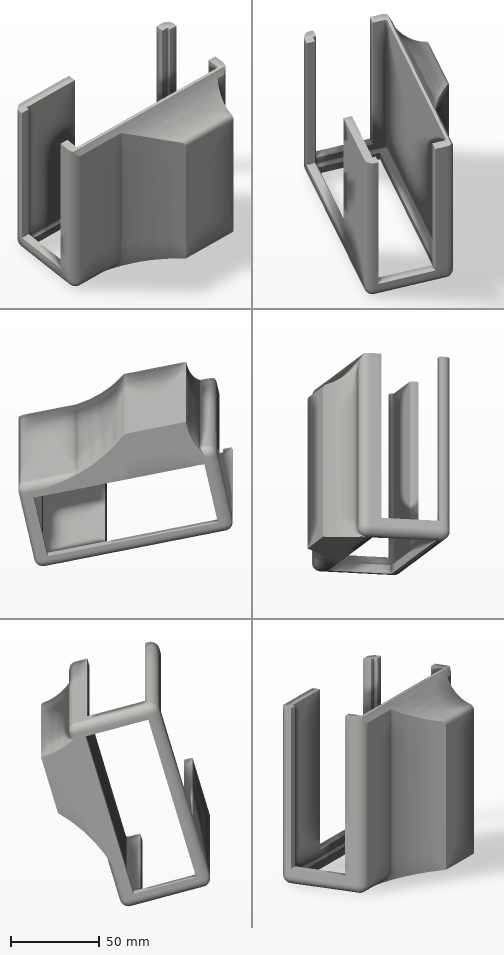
import cadquery as cq

BOX_X = 53.0
BOX_Y = 115.0
HEIGHT = 105.0
OUTER_RADIUS = 5.0

WALL = 5.0
FLOOR = 5.0
BACK_WALL = 3.75
CAVITY_RADIUS = 1.0
CAVITY_X = BOX_X - WALL - BACK_WALL
CAVITY_Y = BOX_Y - 2 * WALL

LEDGE_LEFT = 2.25
LEDGE_RIGHT = 5.0
LEDGE_ENDS = 3.0

WINDOW_SILL = 10.0
END_WINDOW_START = 7.0
END_WINDOW_STOP = 41.0
SIDE_WINDOW_START = 41.0
SIDE_WINDOW_STOP = 106.0

FIN_TIP_X = 72.0
FIN_ROOT_X = BOX_X - BACK_WALL
FIN_TAB_X = BOX_X - OUTER_RADIUS
FIN_ROOT_FRONT = 18.6
FIN_TIP_FRONT = 66.8
FIN_FRONT_RADIUS = 89.0
FIN_ROOT_REAR = 108.7
FIN_TIP_REAR = 102.2
FIN_REAR_RADIUS = 35.0
FIN_REAR_FLAT = 2.5
SCOOP_START_X = 51.0
SCOOP_TIP_Z = 87.8
SCOOP_RADIUS = 30.0
FIN_TIP_RADIUS = 3.0


def block(x_range, y_range, z_range):
    """Axis-aligned block between the given limits."""
    size = [limits[1] - limits[0] for limits in (x_range, y_range, z_range)]
    corner = (x_range[0], y_range[0], z_range[0])
    return cq.Workplane("XY").box(*size, centered=False).translate(corner)


def make_box():
    """Outer block with rounded upright and bottom edges."""
    box = block((0, BOX_X), (0, BOX_Y), (0, HEIGHT))
    return box.edges("|Z or <Z").fillet(OUTER_RADIUS)


def make_fin():
    """Plan outline of the fin, extruded to the full height."""
    return (
        cq.Workplane("XY")
        .moveTo(FIN_TAB_X, FIN_ROOT_FRONT)
        .lineTo(FIN_ROOT_X, FIN_ROOT_FRONT)
        .radiusArc((FIN_TIP_X, FIN_TIP_FRONT), FIN_FRONT_RADIUS)
        .lineTo(FIN_TIP_X, FIN_TIP_REAR)
        .lineTo(FIN_TIP_X - FIN_REAR_FLAT, FIN_TIP_REAR)
        .radiusArc((FIN_ROOT_X, FIN_ROOT_REAR), FIN_REAR_RADIUS)
        .lineTo(FIN_TAB_X, FIN_ROOT_REAR)
        .close()
        .extrude(HEIGHT)
    )


def make_scoop():
    """Material above the concave top of the fin, along the whole +X wall."""
    return (
        cq.Workplane("XZ")
        .moveTo(SCOOP_START_X, HEIGHT)
        .radiusArc((FIN_TIP_X, SCOOP_TIP_Z), -SCOOP_RADIUS)
        .lineTo(FIN_TIP_X, HEIGHT)
        .close()
        .extrude(-BOX_Y)
    )


def make_cavity():
    """Cavity with rounded bottom edges and rounded +X upright edges."""
    cavity = block(
        (WALL, WALL + CAVITY_X),
        (WALL, WALL + CAVITY_Y),
        (FLOOR, HEIGHT),
    )
    return cavity.edges("<Z or (|Z and >X)").fillet(CAVITY_RADIUS)


def make_floor_opening():
    """Rectangular opening through the floor."""
    return block(
        (WALL + LEDGE_LEFT, WALL + CAVITY_X - LEDGE_RIGHT),
        (WALL + LEDGE_ENDS, WALL + CAVITY_Y - LEDGE_ENDS),
        (0, FLOOR),
    )


def make_end_windows():
    """Window running along Y through both end walls."""
    return block((END_WINDOW_START, END_WINDOW_STOP), (0, BOX_Y), (WINDOW_SILL, HEIGHT))


def make_side_window():
    """Window through the -X wall."""
    return block((0, WALL), (SIDE_WINDOW_START, SIDE_WINDOW_STOP), (WINDOW_SILL, HEIGHT))


holder = make_box().union(make_fin()).cut(make_scoop())
holder = holder.faces(">X").edges(">Z").fillet(FIN_TIP_RADIUS)
holder = holder.cut(make_cavity()).cut(make_floor_opening())
result = holder.cut(make_end_windows()).cut(make_side_window())